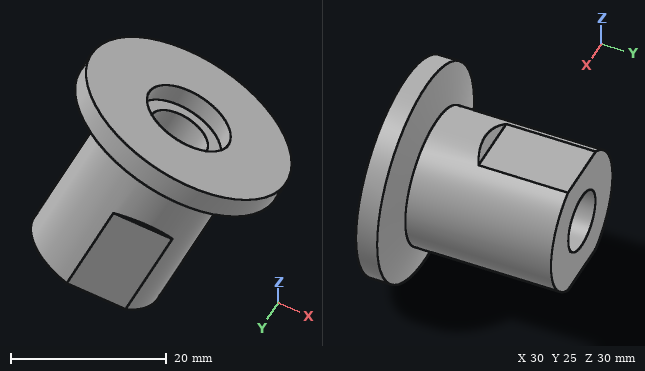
import cadquery as cq
import math

flange_diameter = 30.0
total_length = 25.0
flange_rim_thickness = 3.0
flange_back_angle = 15.0
body_diameter = 19.05

bore_diameter = 8.4
counterbore_diameter = 12.2
counterbore_depth = 2.6

across_flats = 17.0
flat_length = 12.6

flange_radius = flange_diameter / 2
body_radius = body_diameter / 2
cone_length = (flange_radius - body_radius) * math.tan(math.radians(flange_back_angle))
cone_end = flange_rim_thickness + cone_length


def revolved_body():
    """Flange with a conical back and a cylindrical body, turned about Y."""
    return (
        cq.Workplane("XY")
        .moveTo(0, 0)
        .lineTo(flange_radius, 0)
        .lineTo(flange_radius, flange_rim_thickness)
        .lineTo(body_radius, cone_end)
        .lineTo(body_radius, total_length)
        .lineTo(0, total_length)
        .close()
        .revolve(360, (0, 0, 0), (0, 1, 0))
    )


def cylinder_along_y(diameter, length):
    """Cylinder starting at the flange face and running along +Y."""
    return cq.Workplane("XZ").circle(diameter / 2).extrude(-length)


def flat_cutter(side):
    """Material removed above (side = 1) or below (side = -1), with a 45 degree run-out."""
    flat_height = across_flats / 2
    flat_start = total_length - flat_length
    cut_depth = body_radius - flat_height
    return (
        cq.Workplane("YZ")
        .moveTo(total_length, side * flat_height)
        .lineTo(flat_start, side * flat_height)
        .lineTo(flat_start - cut_depth, side * body_radius)
        .lineTo(total_length, side * body_radius)
        .close()
        .extrude(body_radius, both=True)
    )


result = revolved_body()
result = result.cut(cylinder_along_y(bore_diameter, total_length))
result = result.cut(cylinder_along_y(counterbore_diameter, counterbore_depth))
for side in (1, -1):
    result = result.cut(flat_cutter(side))